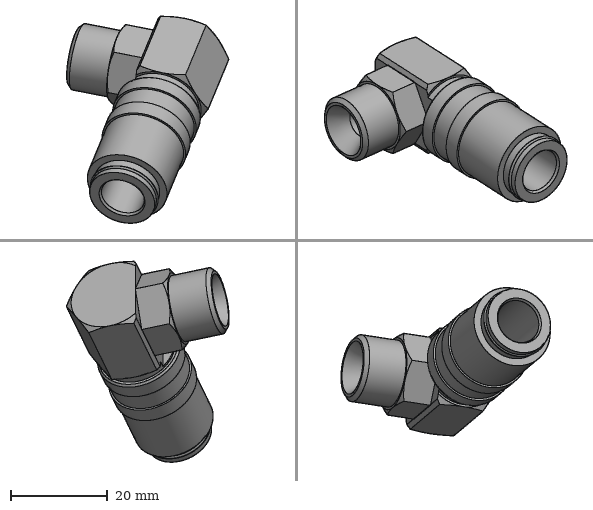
import cadquery as cq
import math

OVERALL_LENGTH = 47.15

BODY_APOTHEM = 8.5
BODY_HALF_LENGTH = 8.55
FLAT_X = -5.5
FLAT_END_Y = -10.05

NUT_APOTHEM = 7.55
NUT_END_X = -12.15
PORT_END_X = -21.17
PORT_RADIUS = 7.05
PORT_CHAMFER = 0.85
PORT_BORE_RADIUS = 3.0
CONE_MOUTH_RADIUS = 5.55
CONE_DEPTH = 4.25

BARREL_END_Y = NUT_APOTHEM / math.cos(math.pi / 6) - OVERALL_LENGTH
NECK_RADIUS = 8.0
COLLAR_START_Y = -10.5
COLLAR_RADIUS = 9.0
COLLAR_CHAMFER = 0.42
FIRST_COLLAR_END_Y = -14.1
SECOND_COLLAR_START_Y = -18.6
SECOND_COLLAR_END_Y = -22.05
SLEEVE_RADIUS = 8.6
SLEEVE_END_Y = -34.65
NOSE_RADIUS = 7.05
RING_Y = -36.85
RING_RADIUS = 0.4
RING_OUTER_RADIUS = 7.3

MOUTH_RADIUS = 4.95
OUTER_BORE_RADIUS = 4.6
MOUTH_CHAMFER_LENGTH = 0.55
INNER_BORE_RADIUS = 4.05
BORE_STEP_Y = SECOND_COLLAR_END_Y
BORE_FLOOR_Y = INNER_BORE_RADIUS

HEX_CHAMFER_ANGLE = math.radians(30)


def hexagon_corner_radius(apothem):
    return apothem / math.cos(math.pi / 6)


def hexagon_chamfer(apothem):
    """Axial length of a 30 degree chamfer starting at the inscribed circle."""
    return (hexagon_corner_radius(apothem) - apothem) * math.tan(HEX_CHAMFER_ANGLE)


def revolve_about_x(points):
    """Revolve an (x, radius) outline about X."""
    return cq.Workplane("XY").polyline(points).close().revolve(360, (0, 0), (1, 0))


def revolve_about_y(points):
    """Revolve a (radius, y) outline about Y."""
    return cq.Workplane("XY").polyline(points).close().revolve(360, (0, 0), (0, 1))


def make_body():
    corner = hexagon_corner_radius(BODY_APOTHEM)
    chamfer = hexagon_chamfer(BODY_APOTHEM)
    hexagon = (
        cq.Workplane("XZ", origin=(0, BODY_HALF_LENGTH, 0))
        .polygon(6, 2 * corner)
        .extrude(2 * BODY_HALF_LENGTH)
    )
    envelope = revolve_about_y([
        (0, BODY_HALF_LENGTH),
        (BODY_APOTHEM, BODY_HALF_LENGTH),
        (corner, BODY_HALF_LENGTH - chamfer),
        (corner, chamfer - BODY_HALF_LENGTH),
        (BODY_APOTHEM, -BODY_HALF_LENGTH),
        (0, -BODY_HALF_LENGTH),
    ])
    neck = (
        cq.Workplane("XZ")
        .circle(NECK_RADIUS)
        .extrude(-COLLAR_START_Y)
    )
    cut_size = 4 * BODY_APOTHEM
    flat_cut = cq.Workplane("XY").box(cut_size, cut_size, cut_size, centered=(True, False, True))
    flat_cut = flat_cut.translate((FLAT_X - cut_size / 2, FLAT_END_Y, 0))
    return hexagon.intersect(envelope).union(neck).cut(flat_cut)


def make_port():
    corner = hexagon_corner_radius(NUT_APOTHEM)
    hexagon = (
        cq.Workplane("YZ", origin=(NUT_END_X, 0, 0))
        .polygon(6, 2 * corner)
        .extrude(FLAT_X - NUT_END_X)
    )
    envelope = revolve_about_x([
        (NUT_END_X, 0),
        (NUT_END_X, NUT_APOTHEM),
        (NUT_END_X + hexagon_chamfer(NUT_APOTHEM), corner),
        (FLAT_X, corner),
        (FLAT_X, 0),
    ])
    stub = (
        cq.Workplane("YZ", origin=(PORT_END_X, 0, 0))
        .circle(PORT_RADIUS)
        .extrude(FLAT_X - PORT_END_X)
        .faces("<X")
        .chamfer(PORT_CHAMFER)
    )
    return hexagon.intersect(envelope).union(stub)


def make_barrel():
    barrel = revolve_about_y([
        (0, COLLAR_START_Y),
        (COLLAR_RADIUS - COLLAR_CHAMFER, COLLAR_START_Y),
        (COLLAR_RADIUS, COLLAR_START_Y - COLLAR_CHAMFER),
        (COLLAR_RADIUS, FIRST_COLLAR_END_Y),
        (SLEEVE_RADIUS, FIRST_COLLAR_END_Y),
        (SLEEVE_RADIUS, SECOND_COLLAR_START_Y),
        (COLLAR_RADIUS, SECOND_COLLAR_START_Y),
        (COLLAR_RADIUS, SECOND_COLLAR_END_Y),
        (SLEEVE_RADIUS, SECOND_COLLAR_END_Y),
        (SLEEVE_RADIUS, SLEEVE_END_Y),
        (NOSE_RADIUS, SLEEVE_END_Y),
        (NOSE_RADIUS, BARREL_END_Y),
        (0, BARREL_END_Y),
    ])
    ring_centre_radius = RING_OUTER_RADIUS - RING_RADIUS
    ring = (
        cq.Workplane("XY")
        .center(ring_centre_radius, RING_Y)
        .circle(RING_RADIUS)
        .revolve(360, (-ring_centre_radius, 0), (-ring_centre_radius, 1))
    )
    return barrel.union(ring)


def make_port_bore():
    cone_end_x = PORT_END_X + CONE_DEPTH
    return revolve_about_x([
        (PORT_END_X, 0),
        (PORT_END_X, CONE_MOUTH_RADIUS),
        (cone_end_x, PORT_BORE_RADIUS),
        (0, PORT_BORE_RADIUS),
        (0, 0),
    ])


def make_barrel_bore():
    return revolve_about_y([
        (0, BARREL_END_Y),
        (MOUTH_RADIUS, BARREL_END_Y),
        (OUTER_BORE_RADIUS, BARREL_END_Y + MOUTH_CHAMFER_LENGTH),
        (OUTER_BORE_RADIUS, BORE_STEP_Y),
        (INNER_BORE_RADIUS, BORE_STEP_Y),
        (INNER_BORE_RADIUS, BORE_FLOOR_Y),
        (0, BORE_FLOOR_Y),
    ])


elbow = make_body().union(make_port()).union(make_barrel())
result = elbow.cut(make_port_bore()).cut(make_barrel_bore())